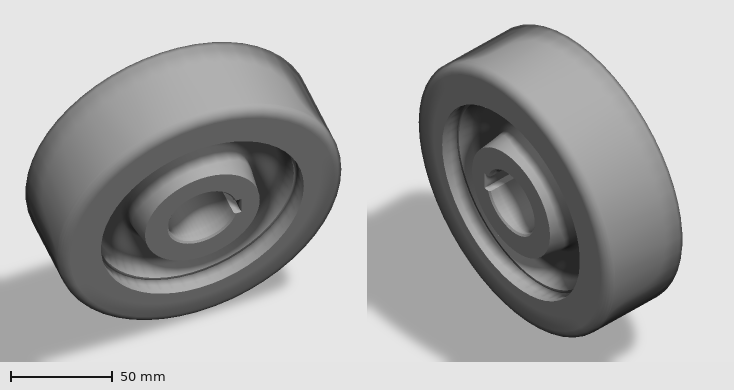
import cadquery as cq

outer_radius = 75.0
width = 50.0
half_width = width / 2

tyre_inner_radius = 62.5
tyre_edge_fillet = 5.0

rim_mouth_radius = 53.5
rim_step_radius = 52.0
rim_step_depth = 9.3
rim_root_radius = 50.1

web_thickness = 12.0
half_web = web_thickness / 2
hub_face_radius = 30.3
hub_root_radius = 33.0
web_fillet = 3.0

bore_radius = 17.5
bore_chamfer = 0.9
key_width = 9.9
key_reach = 20.5


def make_tyre():
    """Ring with rounded outer edges."""
    ring = cq.Workplane("YZ", origin=(-half_width, 0, 0)).circle(outer_radius).circle(tyre_inner_radius)
    tyre = ring.extrude(width)
    return tyre.edges(cq.selectors.RadiusNthSelector(-1)).fillet(tyre_edge_fillet)


def side_recess():
    """Annular recess between hub and rim on the +X side, rounded at the web."""
    step_x = half_width - rim_step_depth
    profile = (
        cq.Workplane("XY")
        .moveTo(half_width, hub_face_radius)
        .lineTo(half_web, hub_root_radius)
        .lineTo(half_web, rim_root_radius)
        .lineTo(step_x, rim_step_radius)
        .lineTo(step_x, rim_mouth_radius)
        .lineTo(half_width, rim_mouth_radius)
        .close()
    )
    recess = profile.revolve(360, (0, 0, 0), (1, 0, 0))
    return recess.faces("<X").edges().fillet(web_fillet)


def keyway():
    """Through slot on the +Y side of the bore."""
    return cq.Workplane("XY").box(width, key_reach, key_width).translate((0, key_reach / 2, 0))


def make_wheel():
    """Rim, web and hub in one piece, bored and keyed."""
    wheel = cq.Workplane("YZ", origin=(-half_width, 0, 0)).circle(tyre_inner_radius).circle(bore_radius)
    wheel = wheel.extrude(width)
    wheel = wheel.edges(cq.selectors.RadiusNthSelector(0)).chamfer(bore_chamfer)
    recess = side_recess()
    for cutter in (recess, recess.mirror("YZ"), keyway()):
        wheel = wheel.cut(cutter)
    return wheel


tyre = make_tyre()
wheel = make_wheel()
result = cq.Compound.makeCompound([tyre.val(), *wheel.vals()])